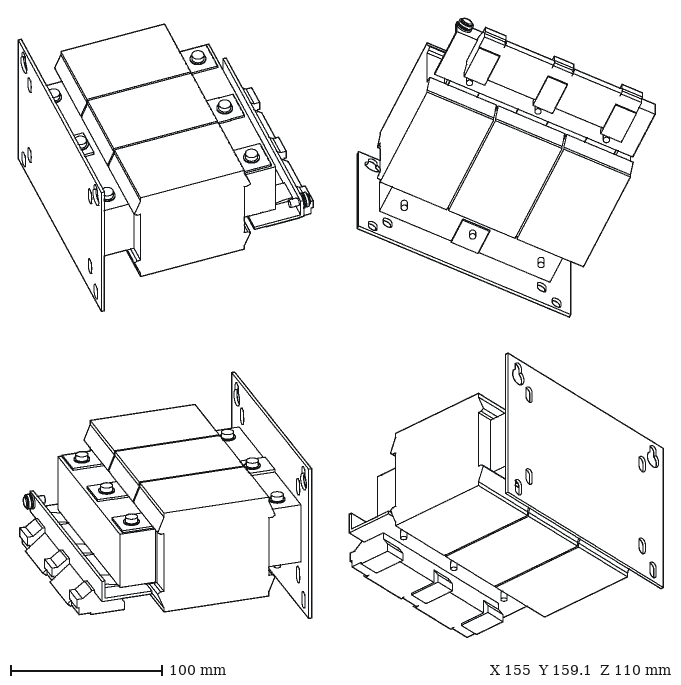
import cadquery as cq


PLATE_WIDTH = 155.0
PLATE_HEIGHT = 110.0
PLATE_THICKNESS = 2.2
SLOT_WIDTH = 6.0
SLOT_LENGTH = 11.6
OUTER_SLOT_X = 67.1
OUTER_SLOT_Z = -46.0
INNER_SLOT_X = 56.3
INNER_SLOT_Z = 32.3
KEYHOLE_DIAMETER = 11.1
KEYHOLE_Z = 41.0
KEYHOLE_TOP = 51.9

COIL_PITCH = 50.0
COIL_WIDTH = 48.7
COIL_FRONT = 29.0
COIL_BACK = 102.5
COIL_HALF_HEIGHT = 36.5
AXIS_Z = 0.8
LIP_REACH = 4.5
LIP_ROOT_HEIGHT = 33.4
LIP_TIP_HEIGHT = 22.6
LIP_INNER_HEIGHT = 21.2
LIP_INNER_REACH = 2.4

YOKE_WIDTH = 124.5
FRONT_YOKE_HALF_HEIGHT = 21.0
BACK_YOKE_HALF_HEIGHT = 19.5
BACK_YOKE_END = 129.2
FLANGE_THICKNESS = 1.6
PAD_WIDTH = 21.3
PAD_END = 126.8
MIDDLE_PAD_ROOT_WIDTH = 22.0
FOOT_WIDTH = 19.7
FOOT_END = 20.4
FOOT_THICKNESS = 1.9

BOLT_Y_FRONT = 14.6
BOLT_Y_BACK = 116.8
BOLT_HEAD_DIAMETER = 8.1
BOLT_HEAD_HEIGHT = 3.3
BOLT_WASHER_DIAMETER = 10.5
BOLT_WASHER_THICKNESS = 0.6
BOLT_SHANK_DIAMETER = 4.1
BOLT_BOTTOM = -27.4

RAIL_WIDTH = 144.8
RAIL_FRONT = 110.2
RAIL_BACK = 145.2
RAIL_BOTTOM = -22.0
RAIL_TOP = -7.2
RAIL_THICKNESS = 2.2

CLAMP_OUTER_X = 57.5
CLAMP_INNER_X = 42.3
MIDDLE_CLAMP_WIDTH = 14.3
BLOCK_FRONT = 128.0
BLOCK_BOTTOM = -36.7
CLAMP_HEEL = 124.2
CLAMP_FACE = 157.6
CLAMP_RECESS = 156.0
CLAMP_FOOT_END = 147.8
CLAMP_BOTTOM = -38.0
CLAMP_FACE_TOP = -25.3
CLAMP_FACE_BOTTOM = -31.7
CLAMP_SHOULDER = -20.4
CLAMP_TOP = -17.3
CLAMP_SLOPE_FOOT = 153.7
CLAMP_SLOPE_HEAD = 147.0
CLAMP_RAMP_HEAD = 136.6
CLAMP_RAMP_FOOT = 125.0
CLAMP_FLARE_TOP = -26.7
CLAMP_FLARE_BOTTOM = -32.5
WEDGE_TIP_Y = 159.1
WEDGE_TIP_Z = -35.3
WEDGE_TOP = -23.9
WEDGE_CHIN_Y = 156.7
WEDGE_CHIN_Z = -37.4
WEDGE_CHIN_END = 154.3

SCREW_X = 67.3
SCREW_Z = -12.1
SCREW_SHANK_DIAMETER = 5.2
SCREW_SHANK_END = 137.1
SCREW_DISCS = [(10.3, 1.1), (8.1, 1.1), (9.9, 1.9)]
SCREW_CROWN_DIAMETER = 8.0
SCREW_CROWN_HEIGHT = 1.3


def block(width, y_range, z_range, x=0.0):
    """Box centred on x that spans the given Y and Z ranges."""
    depth = y_range[1] - y_range[0]
    height = z_range[1] - z_range[0]
    corner = (x - width / 2, y_range[0], z_range[0])
    return cq.Workplane("XY").box(width, depth, height, centered=False).translate(corner)


def extrude_side_profile(points, width, x=0.0):
    """Extrude a (Y, Z) outline along X, centred on x."""
    return cq.Workplane("YZ", origin=(x, 0, 0)).polyline(points).close().extrude(width / 2, both=True)


def disc_z(diameter, x, y, bottom, top):
    """Upright cylinder."""
    return cq.Workplane("XY", origin=(x, y, bottom)).circle(diameter / 2).extrude(top - bottom)


def disc_y(diameter, x, z, front, back):
    """Cylinder lying along Y."""
    return cq.Workplane("XZ", origin=(x, front, z)).circle(diameter / 2).extrude(front - back)


def mounting_plate():
    plate = block(PLATE_WIDTH, (0, PLATE_THICKNESS), (-PLATE_HEIGHT / 2, PLATE_HEIGHT / 2))
    slots = [(side * OUTER_SLOT_X, OUTER_SLOT_Z) for side in (-1, 1)]
    slots += [(side * INNER_SLOT_X, end * INNER_SLOT_Z) for side in (-1, 1) for end in (-1, 1)]
    face = cq.Workplane("XZ")
    plate = plate.cut(
        face.pushPoints(slots).slot2D(SLOT_LENGTH, SLOT_WIDTH, 90).extrude(-PLATE_THICKNESS)
    )
    neck_length = KEYHOLE_TOP - KEYHOLE_Z + SLOT_WIDTH / 2
    neck_z = KEYHOLE_TOP - neck_length / 2
    for side in (-1, 1):
        x = side * OUTER_SLOT_X
        plate = plate.cut(disc_y(KEYHOLE_DIAMETER, x, KEYHOLE_Z, 0, PLATE_THICKNESS))
        neck = face.center(x, neck_z).slot2D(neck_length, SLOT_WIDTH, 90)
        plate = plate.cut(neck.extrude(-PLATE_THICKNESS))
    return plate


def coil(x):
    """Winding block with four slanted lips that overhang the yokes."""
    quarter = [
        (0, COIL_HALF_HEIGHT),
        (0, LIP_ROOT_HEIGHT),
        (LIP_REACH, LIP_TIP_HEIGHT),
        (LIP_INNER_REACH, LIP_INNER_HEIGHT),
        (0, LIP_INNER_HEIGHT),
    ]
    front_top = [(COIL_FRONT - reach, AXIS_Z + height) for reach, height in quarter]
    front_bottom = [(COIL_FRONT - reach, AXIS_Z - height) for reach, height in reversed(quarter)]
    back_bottom = [(COIL_BACK + reach, AXIS_Z - height) for reach, height in quarter]
    back_top = [(COIL_BACK + reach, AXIS_Z + height) for reach, height in reversed(quarter)]
    return extrude_side_profile(front_top + front_bottom + back_bottom + back_top, COIL_WIDTH, x)


def yokes():
    clamp_range = (AXIS_Z - FRONT_YOKE_HALF_HEIGHT, AXIS_Z + FRONT_YOKE_HALF_HEIGHT)
    core_range = (AXIS_Z - BACK_YOKE_HALF_HEIGHT, AXIS_Z + BACK_YOKE_HALF_HEIGHT)
    flange_end = COIL_BACK + FLANGE_THICKNESS
    front = block(YOKE_WIDTH, (PLATE_THICKNESS, COIL_FRONT), clamp_range)
    flange_width = 2 * COIL_PITCH + PAD_WIDTH
    back_flange = block(flange_width, (COIL_BACK, flange_end), clamp_range)
    back = block(YOKE_WIDTH, (flange_end, BACK_YOKE_END), core_range)
    body = front.union(back_flange).union(back)

    for x in (-COIL_PITCH, 0, COIL_PITCH):
        body = body.union(block(PAD_WIDTH, (flange_end, PAD_END), clamp_range, x))
    return body.union(block(MIDDLE_PAD_ROOT_WIDTH, (flange_end, BOLT_Y_BACK), clamp_range))


def plate_feet():
    """Tabs of the mounting plate that grip the front yoke above and below."""
    half_height = FRONT_YOKE_HALF_HEIGHT + FOOT_THICKNESS
    return block(FOOT_WIDTH, (PLATE_THICKNESS, FOOT_END), (AXIS_Z - half_height, AXIS_Z + half_height))


def bolt(x, y, seat):
    """Bolt through a yoke, with its washer resting at height seat."""
    head_bottom = seat + BOLT_WASHER_THICKNESS
    washer = disc_z(BOLT_WASHER_DIAMETER, x, y, seat, head_bottom)
    head = disc_z(BOLT_HEAD_DIAMETER, x, y, head_bottom, head_bottom + BOLT_HEAD_HEIGHT)
    shank = disc_z(BOLT_SHANK_DIAMETER, x, y, BOLT_BOTTOM, seat)
    return washer.union(head).union(shank)


def bolts():
    seat = AXIS_Z + FRONT_YOKE_HALF_HEIGHT
    body = bolt(0, BOLT_Y_FRONT, seat + FOOT_THICKNESS).union(bolt(0, BOLT_Y_BACK, seat))
    for x in (-COIL_PITCH, COIL_PITCH):
        body = body.union(bolt(x, BOLT_Y_FRONT, seat)).union(bolt(x, BOLT_Y_BACK, seat))
    return body


def terminal_rail():
    shelf = block(RAIL_WIDTH, (RAIL_FRONT, RAIL_BACK), (RAIL_BOTTOM, RAIL_BOTTOM + RAIL_THICKNESS))
    lip = block(RAIL_WIDTH, (RAIL_BACK - RAIL_THICKNESS, RAIL_BACK), (RAIL_BOTTOM, RAIL_TOP))
    return shelf.union(lip)


def terminal_blocks():
    """Two wedge-fronted blocks held between three clamps that grip the rail."""
    rail_lip_inner = RAIL_BACK - RAIL_THICKNESS
    clamp_outline = [
        (CLAMP_FACE, CLAMP_FACE_TOP),
        (CLAMP_SLOPE_FOOT, CLAMP_FACE_TOP),
        (CLAMP_SLOPE_HEAD, CLAMP_SHOULDER),
        (rail_lip_inner, CLAMP_SHOULDER),
        (rail_lip_inner, CLAMP_TOP),
        (CLAMP_RAMP_HEAD, CLAMP_TOP),
        (CLAMP_RAMP_FOOT, RAIL_BOTTOM + RAIL_THICKNESS),
        (BLOCK_FRONT, RAIL_BOTTOM),
        (BLOCK_FRONT, CLAMP_FLARE_TOP),
        (CLAMP_HEEL, CLAMP_FLARE_BOTTOM),
        (CLAMP_HEEL, CLAMP_BOTTOM),
        (CLAMP_FOOT_END, CLAMP_BOTTOM),
        (CLAMP_FOOT_END, BLOCK_BOTTOM),
        (CLAMP_RECESS, BLOCK_BOTTOM),
        (CLAMP_RECESS, CLAMP_FACE_BOTTOM),
        (CLAMP_FACE, CLAMP_FACE_BOTTOM),
    ]
    wedge_outline = [
        (BLOCK_FRONT, RAIL_BOTTOM),
        (RAIL_BACK, RAIL_BOTTOM),
        (RAIL_BACK, WEDGE_TOP),
        (WEDGE_TIP_Y, WEDGE_TIP_Z),
        (WEDGE_CHIN_Y, WEDGE_CHIN_Z),
        (WEDGE_CHIN_END, BLOCK_BOTTOM),
        (BLOCK_FRONT, BLOCK_BOTTOM),
    ]
    body = extrude_side_profile(clamp_outline, MIDDLE_CLAMP_WIDTH)
    wedge_width = CLAMP_INNER_X - MIDDLE_CLAMP_WIDTH / 2
    wedge_x = CLAMP_INNER_X - wedge_width / 2
    clamp_width = CLAMP_OUTER_X - CLAMP_INNER_X
    clamp_x = (CLAMP_OUTER_X + CLAMP_INNER_X) / 2
    for side in (-1, 1):
        body = body.union(extrude_side_profile(wedge_outline, wedge_width, side * wedge_x))
        body = body.union(extrude_side_profile(clamp_outline, clamp_width, side * clamp_x))
    return body


def earth_screw():
    screw = disc_y(SCREW_SHANK_DIAMETER, SCREW_X, SCREW_Z, SCREW_SHANK_END, RAIL_BACK)
    y = RAIL_BACK
    for diameter, thickness in SCREW_DISCS:
        screw = screw.union(disc_y(diameter, SCREW_X, SCREW_Z, y, y + thickness))
        y += thickness
    crown = disc_y(SCREW_CROWN_DIAMETER, SCREW_X, SCREW_Z, y, y + SCREW_CROWN_HEIGHT)
    return screw.union(crown.faces(">Y").chamfer(SCREW_CROWN_HEIGHT / 2))


result = mounting_plate().union(yokes()).union(plate_feet())
for coil_x in (-COIL_PITCH, 0, COIL_PITCH):
    result = result.union(coil(coil_x))
result = result.union(bolts()).union(terminal_rail()).union(terminal_blocks()).union(earth_screw())